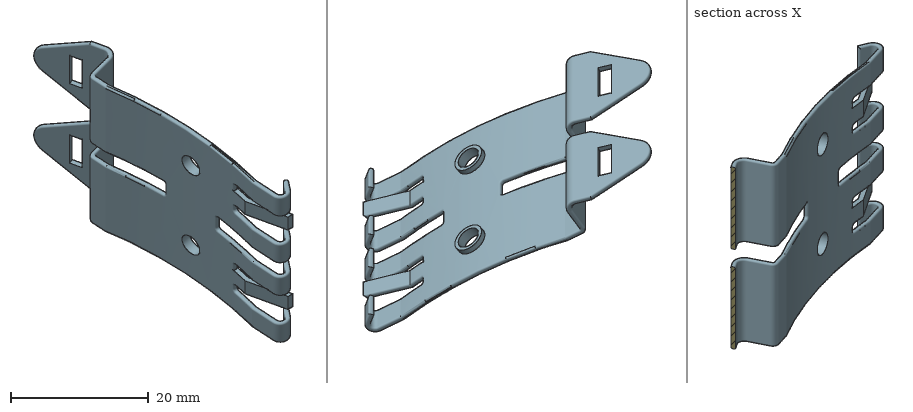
import cadquery as cq
import math

length = 50.55
thickness = 0.8
edge_round = 0.3
height = 31.0
gap = 2.95
tab_width = (height - gap) / 2
half_pitch = (tab_width + gap) / 2
halves = (-half_pitch, half_pitch)
tolerance = 0.0005

tab_angle = 15
tab_tip_radius = 3.0
tab_taper_angle = 30
tab_slot_length = 5.95
tab_slot_width = 2
tab_slot_start = 5.95

tab_bend_x = 11.55
tab_bend_y = 4.5
tab_bend_radius = 1
wall_lean = 5
heel_bend_radius = 0.2
arch_start = 16.5
arch_end = 45
arch_rise = 1.45
hook_radius = 1.5
hook_x = length - hook_radius
hook_turn = 140
hook_lip = 1.9

before_tip = -5.05
past_end = length + 5.05
rear_gap_end = 26.8
front_gap_start = 36.9
notch_start = 40.75
notch_width = 5.95
notch_corner = 0.4

tongue_width = 3.0
tongue_bend_x = 43.25
tongue_end_front = 50.0
tongue_end_back = 50.15
tongue_angle = 15
end_overhang = tongue_end_back - tongue_end_front

hole_x = 31.75
hole_diameter = 3.5
collar_diameter = 4.65
collar_top = 3.15

arch_half = (arch_end - arch_start) / 2
arch_x = (arch_start + arch_end) / 2
arch_radius = (arch_half**2 + arch_rise**2) / (2 * arch_rise)
arch_y = arch_rise - arch_radius


def polar(x, y, radius, degrees):
    """Point on a circle about (x, y)."""
    angle = math.radians(degrees)
    return (x + radius * math.cos(angle), y + radius * math.sin(angle))


def arch_point(x, depth):
    """Point of the arch at x, depth behind its front skin."""
    return (x, arch_y + math.sqrt((arch_radius + depth) ** 2 - (x - arch_x) ** 2))


def flat_meets_arch(depth):
    """Half the arch's span where its skin crosses the same skin of the flats."""
    return math.sqrt((arch_radius + depth) ** 2 - (depth - arch_y) ** 2)


def skin(depth):
    """Stations from tab bend to hook lip, as (point, middle of the arc leading to it or None)."""
    tab_radius = tab_bend_radius + depth
    heel_y = thickness + heel_bend_radius
    heel_radius = heel_y - depth
    lean = math.radians(wall_lean)
    wall_reach = tab_bend_radius + thickness + heel_bend_radius
    heel_x = tab_bend_x + (wall_reach - (heel_y - tab_bend_y) * math.sin(lean)) / math.cos(lean)
    span = flat_meets_arch(depth)
    bend_from = 90 + tab_angle
    heel_from = 180 + wall_lean
    hook_to = hook_turn - 90
    lip_start = polar(hook_x, hook_radius, hook_radius - depth, hook_to)
    return [
        (polar(tab_bend_x, tab_bend_y, tab_radius, bend_from), None),
        (polar(tab_bend_x, tab_bend_y, tab_radius, wall_lean),
         polar(tab_bend_x, tab_bend_y, tab_radius, (bend_from + wall_lean) / 2)),
        (polar(heel_x, heel_y, heel_radius, heel_from), None),
        (polar(heel_x, heel_y, heel_radius, 270),
         polar(heel_x, heel_y, heel_radius, (heel_from + 270) / 2)),
        ((arch_x - span, depth), None),
        ((arch_x + span, depth), arch_point(arch_x, depth)),
        ((hook_x, depth), None),
        (lip_start, polar(hook_x, hook_radius, hook_radius - depth, (hook_to - 90) / 2)),
        (polar(*lip_start, hook_lip, hook_turn), None),
    ]


def trace(outline, point, middle):
    """Add a straight stretch, or an arc when it has a middle point."""
    if middle is None:
        return outline.lineTo(*point)
    return outline.threePointArc(middle, point)


def bent_sheet():
    front = skin(0)
    back = skin(thickness)
    outline = cq.Workplane("XY").moveTo(*front[0][0])
    for point, middle in front[1:]:
        outline = trace(outline, point, middle)
    outline = outline.lineTo(*back[-1][0])
    for i in range(len(back) - 1, 0, -1):
        outline = trace(outline, back[i - 1][0], back[i][1])
    return outline.close().extrude(height / 2, both=True)


def block(x_from, x_to, width, z):
    """Block that passes right through the sheet along Y."""
    return cq.Workplane("XY").box(x_to - x_from, height, width).translate(((x_from + x_to) / 2, 0, z))


tab_lean = math.radians(tab_angle)
tab_root = skin(thickness)[0][0]
tip_x = -edge_round * (math.cos(tab_lean) + math.sin(tab_lean) - 1)
tab_length = (tab_root[0] - tip_x) / math.cos(tab_lean)


def tab_plane(z):
    tip = (tip_x, tab_root[1] - tab_length * math.sin(tab_lean), z)
    along = (math.cos(tab_lean), math.sin(tab_lean), 0)
    return cq.Workplane(cq.Plane(tip, along, (math.sin(tab_lean), -math.cos(tab_lean), 0)))


def tab(z):
    taper = math.radians(tab_taper_angle)
    tangent_x = tab_tip_radius * (1 - math.sin(taper))
    tangent_z = tab_tip_radius * math.cos(taper)
    side = tab_width / 2
    taper_end = tangent_x + (side - tangent_z) / math.tan(taper)
    return (
        tab_plane(z)
        .moveTo(tab_length, -side)
        .lineTo(taper_end, -side)
        .lineTo(tangent_x, -tangent_z)
        .threePointArc((0, 0), (tangent_x, tangent_z))
        .lineTo(taper_end, side)
        .lineTo(tab_length, side)
        .close()
        .extrude(thickness)
    )


def tab_slot(z):
    middle = tab_slot_start + tab_slot_width / 2
    return tab_plane(z).center(middle, 0).rect(tab_slot_width, tab_slot_length).extrude(thickness)


def notch(z):
    """Two slots beside the tongue root, and the clear width beyond the tongue's bend."""
    half_notch = notch_width / 2
    half_tongue = tongue_width / 2
    slot_width = half_notch - half_tongue
    slot_offset = (half_notch + half_tongue) / 2
    upper = block(notch_start, past_end, slot_width, z + slot_offset).edges("|Y and <X and >Z")
    lower = block(notch_start, past_end, slot_width, z - slot_offset).edges("|Y and <X")
    beyond = block(tongue_bend_x, past_end, notch_width, z)
    return upper.fillet(notch_corner).union(lower.fillet(notch_corner)).union(beyond)


def tongue(z):
    """Straight tongue that leaves the arch and leans back toward the hook."""
    lean = math.radians(tongue_angle)
    slope = math.tan(lean)
    front_bend = arch_point(tongue_bend_x, 0)
    front_end = (tongue_end_front, front_bend[1] + (tongue_end_front - tongue_bend_x) * slope)
    back_end = (tongue_end_back, front_end[1] + end_overhang * slope + thickness / math.cos(lean))
    line_height = back_end[1] - (back_end[0] - arch_x) * slope - arch_y
    run = 1 + slope**2
    root = math.sqrt(run * (arch_radius + thickness) ** 2 - line_height**2)
    back_bend_x = arch_x + (root - slope * line_height) / run
    return (
        cq.Workplane("XY", origin=(0, 0, z))
        .polyline([front_bend, front_end, back_end, arch_point(back_bend_x, thickness)])
        .close()
        .extrude(tongue_width / 2, both=True)
    )


def is_rounded_edge(edge):
    """True for edges along the sheet's outline, false for bend lines, corners and tongue tops."""
    box = edge.BoundingBox()
    middle = edge.Center()
    straight = edge.geomType() == "LINE"
    along_z = straight and box.zlen > edge.Length() - tolerance
    if along_z:
        on_hook_tip = arch_end < middle.x < hook_x and middle.y > hook_radius
        return on_hook_tip
    across_sheet = straight and edge.Length() < 1.1 * thickness
    level = box.zlen < tolerance
    tongue_top = level and any(abs(middle.z - z - tongue_width / 2) < tolerance for z in halves)
    return not across_sheet and not tongue_top


def cylinder_y(diameter, y_from, y_to, z):
    """Cylinder along Y, centred on a hole."""
    return cq.Workplane("XZ", origin=(hole_x, y_from, z)).circle(diameter / 2).extrude(y_from - y_to)


body = bent_sheet()
body = body.cut(block(before_tip, rear_gap_end, gap, 0).edges("|Y and >X").fillet(notch_corner))
body = body.cut(block(front_gap_start, past_end, gap, 0).edges("|Y and <X").fillet(notch_corner))
for z in halves:
    body = body.union(tab(z))
    body = body.cut(notch(z))
    body = body.union(tongue(z))
rounded_edges = [edge for edge in body.edges().vals() if is_rounded_edge(edge)]
body = body.newObject(rounded_edges).fillet(edge_round)

for z in halves:
    body = body.cut(tab_slot(z))
    body = body.union(cylinder_y(collar_diameter, arch_rise + thickness / 2, collar_top, z))
    body = body.cut(cylinder_y(hole_diameter, 0, collar_top, z))

result = body